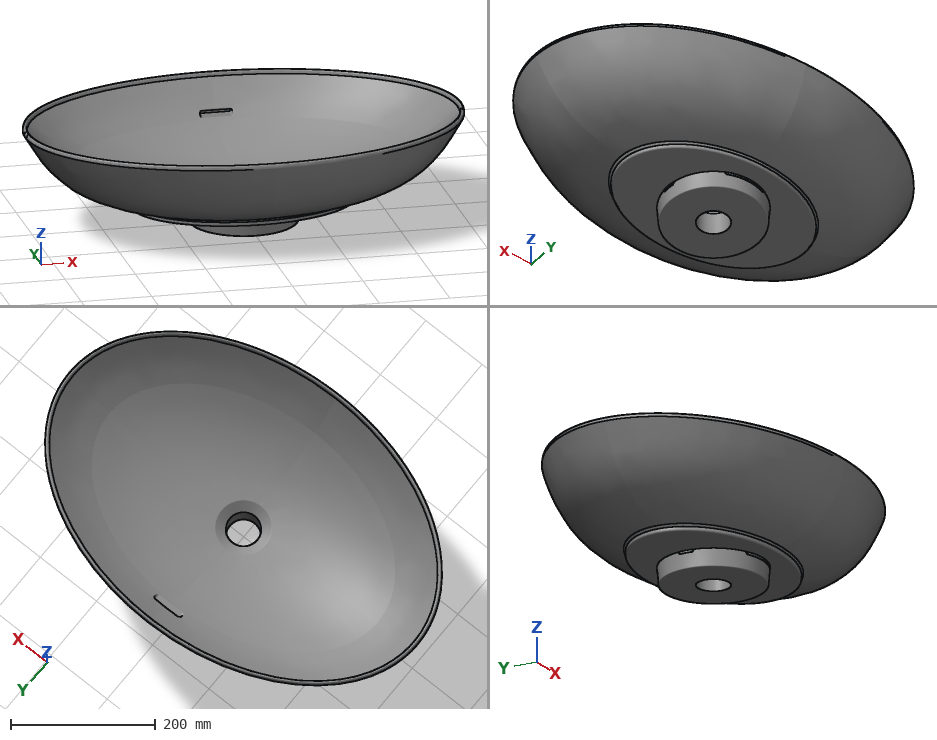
import cadquery as cq
import math

LENGTH = 619.99
WIDTH = 420.0
HEIGHT = 148.34

FOOT_LENGTH = 317.0
FOOT_WIDTH = 216.0
FOOT_BOTTOM = 26.0
FOOT_TOP = 32.0
FOOT_EDGE_RADIUS = 2.5
BOSS_TOP_DIAMETER = 156.8
BOSS_BOTTOM_DIAMETER = 152.6
BOSS_EDGE_RADIUS = 1.5

PAD_DROP = 3.6
PAD_REACH = 0.3
PAD_LENGTH_ALONG_X = 70.0
PAD_LENGTH_ALONG_Y = 26.0

RIM_WIDTH = 6.5
RIM_BASE = 142.3
RIM_STEPS = 16

DRAIN_HOLE_DIAMETER = 48.76
DRAIN_DISH_DIAMETER = 78.0
DRAIN_DISH_TOP = 46.6
DRAIN_DISH_BOTTOM = 37.5
DRAIN_EDGE_RADIUS = 1.5

OVERFLOW_LENGTH = 47.0
OVERFLOW_HEIGHT = 6.5
OVERFLOW_CENTRE_HEIGHT = 100.7
OVERFLOW_FRONT = 140.0
OVERFLOW_BACK = 180.0
OVERFLOW_EDGE_RADIUS = 1.5

OUTER_CURVE = (
    (LENGTH / 2, WIDTH / 2, RIM_BASE),
    (289.5, 202.0, 112.0),
    (271.5, 187.0, 55.0),
    (162.0, 110.0, 35.5),
)
INNER_CURVE = (
    (LENGTH / 2 - RIM_WIDTH, WIDTH / 2 - RIM_WIDTH, RIM_BASE),
    (288.0, 192.0, 130.0),
    (234.0, 145.0, 60.0),
    (DRAIN_DISH_DIAMETER / 2, DRAIN_DISH_DIAMETER / 2, DRAIN_DISH_TOP),
)
SECTION_STEPS = 4

EDGE_SEARCH_MARGIN = 0.5


def bezier_point(curve, t):
    """Return the point of a cubic Bezier curve at parameter t."""
    weights = ((1 - t) ** 3, 3 * t * (1 - t) ** 2, 3 * t**2 * (1 - t), t**3)
    return tuple(sum(w * point[axis] for w, point in zip(weights, curve)) for axis in range(3))


def ellipse_wire(half_length, half_width, height):
    """Return a level ellipse about the Z axis, made of four quarter arcs."""
    centre = cq.Vector(0, 0, height)
    quarters = []
    for start in (0, 90, 180, 270):
        if math.isclose(half_length, half_width):
            up = cq.Vector(0, 0, 1)
            quarter = cq.Edge.makeCircle(half_length, centre, up, start, start + 90)
        else:
            quarter = cq.Edge.makeEllipse(half_length, half_width, centre, angle1=start, angle2=start + 90)
        quarters.append(quarter)
    return cq.Wire.assembleEdges(quarters)


def elliptic_loft(sections, ruled=False):
    """Return the solid through level ellipses given as (half length, half width, height)."""
    wires = [ellipse_wire(*section) for section in sections]
    return cq.Workplane(cq.Solid.makeLoft(wires, ruled))


def curved_bowl(curve, t_start, t_end):
    """Return the solid of ellipses along one stretch of a Bezier curve."""
    step = (t_end - t_start) / SECTION_STEPS
    sections = [bezier_point(curve, t_start + i * step) for i in range(SECTION_STEPS + 1)]
    return elliptic_loft(sections)


def make_rim():
    """Return the rim ring, whose cross-section is the upper half of an ellipse."""
    crest_inset = RIM_WIDTH / 2
    wires = []
    for i in range(RIM_STEPS + 1):
        angle = math.pi * i / RIM_STEPS
        inset = crest_inset * (1 - math.cos(angle))
        height = RIM_BASE + (HEIGHT - RIM_BASE) * math.sin(angle)
        wires.append(ellipse_wire(LENGTH / 2 - inset, WIDTH / 2 - inset, height))
    rounded = cq.Solid.makeLoft(wires)
    rounded_faces = [face for face in rounded.Faces() if face.geomType() != "PLANE"]
    base = cq.Face.makeFromWires(wires[0], [wires[-1]])
    shell = cq.Shell.makeShell([*rounded_faces, base])
    return cq.Workplane(cq.Solid.makeSolid(shell))


def make_foot():
    """Return the elliptic foot with a flare up to the bowl and a rounded lower edge."""
    foot_section = (FOOT_LENGTH / 2, FOOT_WIDTH / 2)
    ring = elliptic_loft([(*foot_section, FOOT_TOP), (*foot_section, FOOT_BOTTOM)], ruled=True)
    ring = ring.faces("<Z").edges().fillet(FOOT_EDGE_RADIUS)
    flare = elliptic_loft([OUTER_CURVE[-1], (*foot_section, FOOT_TOP)], ruled=True)
    return ring.union(flare)


def make_boss():
    """Return the tapered drain boss with its four pads."""
    boss = (
        cq.Workplane("XY")
        .circle(BOSS_BOTTOM_DIAMETER / 2)
        .workplane(offset=FOOT_BOTTOM)
        .circle(BOSS_TOP_DIAMETER / 2)
        .loft()
    )
    boss = boss.faces("<Z").edges().fillet(BOSS_EDGE_RADIUS)
    collar = (
        cq.Workplane("XY", origin=(0, 0, FOOT_BOTTOM - PAD_DROP))
        .circle(BOSS_TOP_DIAMETER / 2 + PAD_REACH)
        .extrude(PAD_DROP)
    )
    for plane, length in (("XZ", PAD_LENGTH_ALONG_X), ("YZ", PAD_LENGTH_ALONG_Y)):
        pad_bar = (
            cq.Workplane(plane)
            .polyline(
                [
                    (-length / 2, FOOT_BOTTOM),
                    (-length / 2 + PAD_DROP, FOOT_BOTTOM - PAD_DROP),
                    (length / 2 - PAD_DROP, FOOT_BOTTOM - PAD_DROP),
                    (length / 2, FOOT_BOTTOM),
                ]
            )
            .close()
            .extrude(BOSS_TOP_DIAMETER, both=True)
        )
        boss = boss.union(collar.intersect(pad_bar))
    return boss


def cut_basin(body):
    """Hollow the bowl; the two stretches meet in an ellipse halfway down."""
    return body.cut(curved_bowl(INNER_CURVE, 0, 0.5)).cut(curved_bowl(INNER_CURVE, 0.5, 1))


def cut_drain(body):
    """Cut the drain dish and the straight hole below it."""
    dish = cq.Workplane(
        cq.Solid.makeCone(
            DRAIN_HOLE_DIAMETER / 2,
            DRAIN_DISH_DIAMETER / 2,
            DRAIN_DISH_TOP - DRAIN_DISH_BOTTOM,
            cq.Vector(0, 0, DRAIN_DISH_BOTTOM),
        )
    )
    hole = cq.Workplane("XY").circle(DRAIN_HOLE_DIAMETER / 2).extrude(DRAIN_DISH_BOTTOM)
    body = body.cut(dish).cut(hole)
    reach = DRAIN_DISH_DIAMETER / 2 + EDGE_SEARCH_MARGIN
    dish_edge = cq.selectors.BoxSelector(
        (-reach, -reach, DRAIN_DISH_TOP - EDGE_SEARCH_MARGIN),
        (reach, reach, DRAIN_DISH_TOP + EDGE_SEARCH_MARGIN),
        boundingbox=True,
    )
    return body.edges(dish_edge).fillet(DRAIN_EDGE_RADIUS)


def cut_overflow(body):
    """Cut the overflow slot as a blind pocket and round its mouth."""
    slot = (
        cq.Workplane("XZ", origin=(0, OVERFLOW_FRONT, OVERFLOW_CENTRE_HEIGHT))
        .slot2D(OVERFLOW_LENGTH, OVERFLOW_HEIGHT)
        .extrude(OVERFLOW_FRONT - OVERFLOW_BACK)
    )
    body = body.cut(slot)
    half_length = OVERFLOW_LENGTH / 2 + EDGE_SEARCH_MARGIN
    half_height = OVERFLOW_HEIGHT / 2 + EDGE_SEARCH_MARGIN
    mouth = cq.selectors.BoxSelector(
        (-half_length, OVERFLOW_FRONT, OVERFLOW_CENTRE_HEIGHT - half_height),
        (half_length, OVERFLOW_BACK - EDGE_SEARCH_MARGIN, OVERFLOW_CENTRE_HEIGHT + half_height),
        boundingbox=True,
    )
    return body.edges(mouth).fillet(OVERFLOW_EDGE_RADIUS)


body = curved_bowl(OUTER_CURVE, 0, 1).union(make_foot()).union(make_boss())
body = cut_basin(body)
body = body.union(make_rim())
body = cut_drain(body)
result = cut_overflow(body)